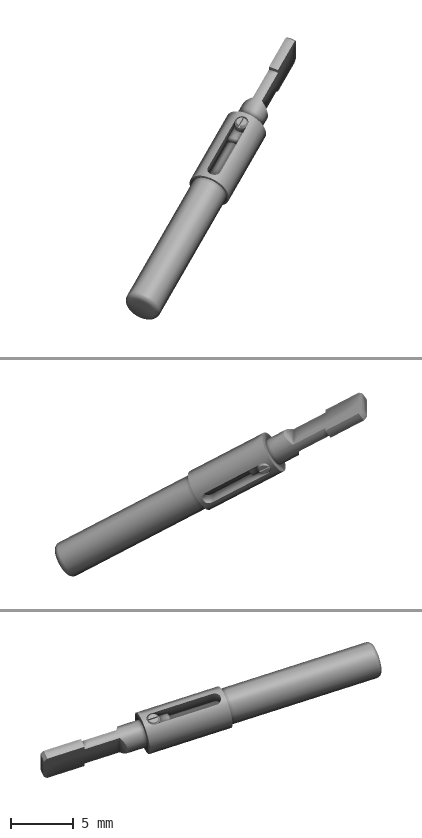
import cadquery as cq
import math

TOTAL_LENGTH = 28.6
COLLAR_END = 20.02
COLLAR_LENGTH = 7.04
COLLAR_START = COLLAR_END - COLLAR_LENGTH

SHANK_RADIUS = 1.502
SHANK_FILLET = 0.5
COLLAR_RADIUS = 1.75
NECK_RADIUS = 1.15

BLADE_THICKNESS = 0.8
HEAD_LENGTH = 3.45
HEAD_CHAMFER = 0.3
BLADE_LENGTH = 6.5
BLADE_SHOULDER_ANGLE = 30

SLOT_RADIUS = 0.55
SLOT_START = COLLAR_START + 0.37
SLOT_LENGTH = 6.3
SLOT_END = SLOT_START + SLOT_LENGTH
THICK_CORE_RADIUS = 1.05
THIN_CORE_RADIUS = 0.72
CORE_STEP_FILLET = 0.3
CORE_STEP = COLLAR_END - 2.43

PIN_RADIUS = SLOT_RADIUS
PIN_HALF_LENGTH = COLLAR_RADIUS
PIN_CHAMFER_WIDTH = 0.15
PIN_CHAMFER_HEIGHT = 0.2
PIN_GROOVE_WIDTH = 0.11
PIN_GROOVE_DEPTH = 0.17


def rod(radius, start, end):
    """Cylinder on the tool axis between two Y positions."""
    plane = cq.Workplane("XZ", origin=(0, start, 0))
    return plane.circle(radius).extrude(start - end)


def make_handle():
    """Shank with a rounded free end, and the wider collar in front of it."""
    shank = rod(SHANK_RADIUS, 0, COLLAR_START).faces("<Y").edges().fillet(SHANK_FILLET)
    collar = rod(COLLAR_RADIUS, COLLAR_START, COLLAR_END)
    return shank.union(collar)


def make_blade():
    """Neck and wider chamfered head, both milled flat to the blade thickness."""
    head_start = TOTAL_LENGTH - HEAD_LENGTH
    flat_start = TOTAL_LENGTH - BLADE_LENGTH
    head = rod(SHANK_RADIUS, head_start, TOTAL_LENGTH).faces(">Y").edges().chamfer(HEAD_CHAMFER)
    stem = rod(NECK_RADIUS, COLLAR_END, head_start).union(head)

    half_thickness = BLADE_THICKNESS / 2
    shoulder_length = (NECK_RADIUS - half_thickness) * math.tan(math.radians(BLADE_SHOULDER_ANGLE))
    shoulder_start = flat_start - shoulder_length
    outline = (
        cq.Workplane("XY")
        .moveTo(-NECK_RADIUS, COLLAR_END)
        .lineTo(-NECK_RADIUS, shoulder_start)
        .lineTo(-half_thickness, flat_start)
        .lineTo(-half_thickness, TOTAL_LENGTH)
        .lineTo(half_thickness, TOTAL_LENGTH)
        .lineTo(half_thickness, flat_start)
        .lineTo(NECK_RADIUS, shoulder_start)
        .lineTo(NECK_RADIUS, COLLAR_END)
        .close()
        .extrude(COLLAR_RADIUS, both=True)
    )
    return stem.intersect(outline)


def make_slot():
    """Volume removed from the collar: a through slot around the stepped core."""
    slot = (
        cq.Workplane("XY")
        .center(0, (SLOT_START + SLOT_END) / 2)
        .slot2D(SLOT_LENGTH, 2 * SLOT_RADIUS, angle=90)
        .extrude(COLLAR_RADIUS, both=True)
    )
    thick_core = rod(THICK_CORE_RADIUS, CORE_STEP, COLLAR_END)
    thick_core = thick_core.faces("<Y").edges().fillet(CORE_STEP_FILLET)
    thin_core = rod(THIN_CORE_RADIUS, COLLAR_START, COLLAR_END)
    return slot.cut(thick_core).cut(thin_core)


def make_pin():
    """Cross pin along Z with chamfered ends and a narrow groove in each end."""
    pin_y = SLOT_END - SLOT_RADIUS
    pin = (
        cq.Workplane("XY", origin=(0, pin_y, 0))
        .circle(PIN_RADIUS)
        .extrude(PIN_HALF_LENGTH, both=True)
        .faces("<Z or >Z")
        .edges()
        .chamfer(PIN_CHAMFER_HEIGHT, PIN_CHAMFER_WIDTH)
    )
    groove_center = PIN_HALF_LENGTH - PIN_GROOVE_DEPTH / 2
    for side in (-1, 1):
        groove = cq.Workplane("XY").box(PIN_GROOVE_WIDTH, 2 * PIN_RADIUS, PIN_GROOVE_DEPTH)
        pin = pin.cut(groove.translate((0, pin_y, side * groove_center)))
    return pin


result = make_handle().union(make_blade()).cut(make_slot()).union(make_pin())
result = result.translate((0, -TOTAL_LENGTH / 2, 0))